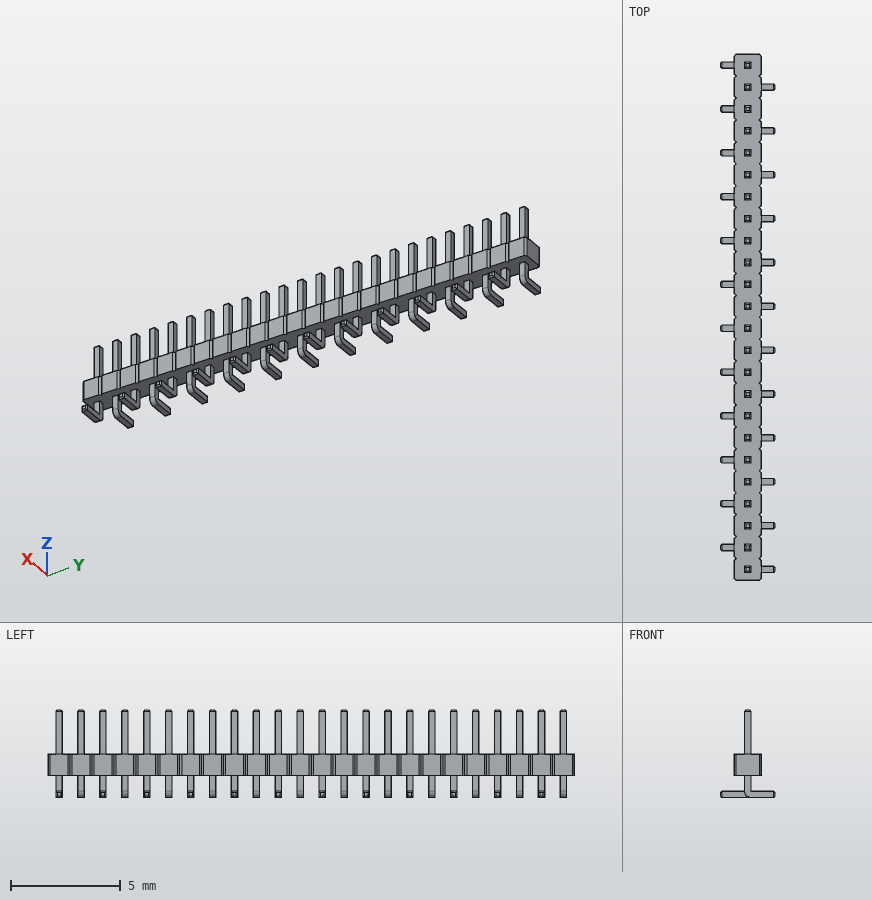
import cadquery as cq

row_length = 24.0
pin_count = 24
pitch = row_length / pin_count
overall_width = 2.5
overall_height = 4.0

body_width = 1.25
body_bottom = 1.0
body_height = 0.98
groove_depth = 0.1

pin_to_pitch = 0.3
pin_size = pin_to_pitch * pitch
tip_chamfer = 0.07


def make_body():
    """Bar of one block per pin; chamfered block edges form V grooves between neighbours."""
    half_width = body_width / 2
    side = []
    for index in range(pin_count):
        block_start = -row_length / 2 + index * pitch
        side.append((half_width - groove_depth, block_start))
        side.append((half_width, block_start + groove_depth))
        side.append((half_width, block_start + pitch - groove_depth))
    side.append((half_width - groove_depth, row_length / 2))
    opposite_side = [(-x, y) for x, y in reversed(side)]
    outline = cq.Workplane("XY").workplane(offset=body_bottom).polyline(side + opposite_side).close()
    return outline.extrude(body_height)


def make_pin():
    """L-shaped pin with its foot toward +X, a heel rounded about the inner corner and chamfered tips."""
    foot_length = (overall_width + pin_size) / 2
    post = cq.Workplane("XY").box(pin_size, pin_size, overall_height, centered=(True, True, False))
    post = post.faces(">Z").chamfer(tip_chamfer)
    foot = cq.Workplane("XY").box(foot_length, pin_size, pin_size, centered=(False, True, False))
    foot = foot.translate((-pin_size / 2, 0, 0)).faces(">X").chamfer(tip_chamfer)
    heel = cq.selectors.NearestToPointSelector((-pin_size / 2, 0, 0))
    return post.union(foot).edges("|Y").edges(heel).fillet(pin_size)


right_pin = make_pin()
left_pin = right_pin.rotate((0, 0, 0), (0, 0, 1), 180)

result = make_body()
for index in range(pin_count):
    pin_y = (index + 0.5) * pitch - row_length / 2
    pin = right_pin if index % 2 == 0 else left_pin
    result = result.union(pin.translate((0, pin_y, 0)))